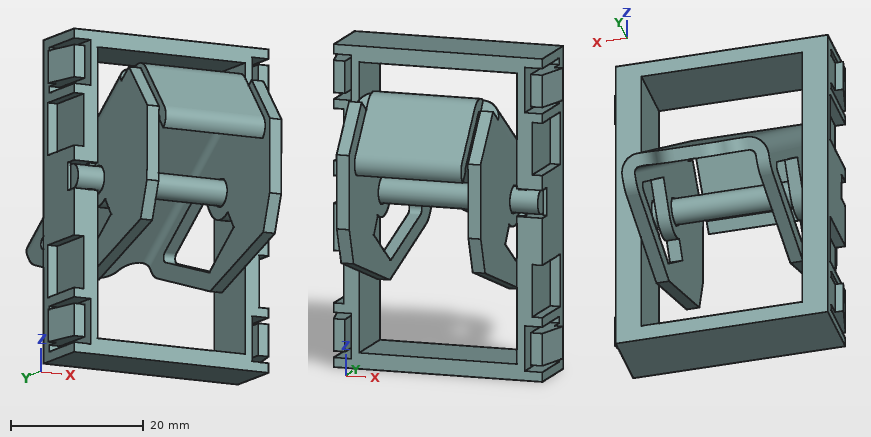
import cadquery as cq
import math


frame_width = 33.3
frame_depth = 10
frame_height = 50
side_wall = 4.05
end_wall = 2.5

clip_height = 5
clip_center_z = 20
clip_thickness = 1.8
clip_slot_width = 1
clip_slot_depth = 8
clip_barb_reach = 1.3
clip_barb_length = 5.9

pocket_height = 8.1
pocket_center_z = 11
pocket_depth = 1.6
pocket_length = 8.5

pin_diameter = 4
pin_length = 31.8
bore_diameter = 4.3
bore_radius = bore_diameter / 2
pin_y = 2.1
pin_z = 2.5
seat_end_wall = 0.5
bead_radius = 0.35
bead_length = 1.1
bead_y = 1.1

handle_tilt = 35
handle_width = 23
sheet = 2
bend_radius = 3
bend_inner_radius = bend_radius - sheet
plate_half_width = handle_width / 2 - bend_radius
plate_top_v = 10
bend_v = plate_top_v - bend_radius
plate_front_u = 14.2
plate_rear_u = -23

tongue_length = 4.05
tongue_tip_half_width = 2.15

flap_bend = 85
flap_length = 9.15
roll_radius = 2.35
roll_angle = 90

side_front_corner = (18.05, -2.15)
side_lower_front_corner = (11.35, -11.5)
side_lower_corner = (6.4, -15)
side_bottom_corner = (-11.15, -10.05)
side_rear_corner = (plate_rear_u, 5)
side_rear_radius = 4

window_top_v = 5.5
window_bottom_v = -7.45
window_rear_u = -20
window_bottom_u = -9.7
window_rear_radius = 0.9
pin_boss_radius = 4.15


def make_block(x_range, y_range, z_range):
    (x0, x1), (y0, y1), (z0, z1) = x_range, y_range, z_range
    return cq.Workplane("XY").box(x1 - x0, y1 - y0, z1 - z0, centered=False).translate((x0, y0, z0))


def make_x_cylinder(radius, x0, length, y, z):
    return cq.Workplane("YZ", origin=(x0, y, z)).circle(radius).extrude(length)


def make_clip_slot(center_z):
    """Slot on the +X side that frees a clip on three sides."""
    outer_x = frame_width / 2
    slot_x = outer_x - clip_thickness - clip_slot_width
    half_slot = clip_height / 2 + clip_slot_width
    half_clip = clip_height / 2
    slot = make_block(
        (slot_x, outer_x), (0, clip_slot_depth), (center_z - half_slot, center_z + half_slot)
    )
    clip = make_block(
        (outer_x - clip_thickness, outer_x),
        (0, clip_slot_depth),
        (center_z - half_clip, center_z + half_clip),
    )
    return slot.cut(clip)


def make_clip_barb(center_z):
    """Wedge on the outer face of a clip on the +X side."""
    outer_x = frame_width / 2
    return (
        cq.Workplane("XY", origin=(0, 0, center_z - clip_height / 2))
        .moveTo(outer_x, 0)
        .lineTo(outer_x + clip_barb_reach, clip_barb_length)
        .lineTo(outer_x, clip_barb_length)
        .close()
        .extrude(clip_height)
    )


def make_side_pocket(center_z):
    outer_x = frame_width / 2
    half_height = pocket_height / 2
    return make_block(
        (outer_x - pocket_depth, outer_x),
        (0, pocket_length),
        (center_z - half_height, center_z + half_height),
    )


def make_pin_seat():
    """Open-fronted seat in the +X side wall: a blind bore, its mouth and its two beads."""
    outer_x = frame_width / 2
    inner_x = outer_x - side_wall
    bore = make_x_cylinder(bore_radius, inner_x, side_wall - seat_end_wall, pin_y, pin_z)
    mouth = make_block((inner_x, outer_x), (0, pin_y), (pin_z - bore_radius, pin_z + bore_radius))
    seat = bore.union(mouth)
    for side in (-1, 1):
        bead = make_x_cylinder(bead_radius, inner_x, bead_length, bead_y, pin_z + side * bore_radius)
        seat = seat.cut(bead)
    return seat


def make_frame():
    frame = (
        cq.Workplane("XZ")
        .rect(frame_width, frame_height)
        .rect(frame_width - 2 * side_wall, frame_height - 2 * end_wall)
        .extrude(-frame_depth)
    )
    cutters = [make_pin_seat()]
    barbs = []
    for end in (-1, 1):
        cutters.append(make_clip_slot(end * clip_center_z))
        cutters.append(make_side_pocket(end * pocket_center_z))
        barbs.append(make_clip_barb(end * clip_center_z))
    for cutter in cutters:
        frame = frame.cut(cutter).cut(cutter.mirror("YZ"))
    for barb in barbs:
        frame = frame.union(barb).union(barb.mirror("YZ"))
    return frame


def make_pin():
    return make_x_cylinder(pin_diameter / 2, -pin_length / 2, pin_length, pin_y, pin_z)


def polar(center, radius, degrees):
    angle = math.radians(degrees)
    return (center[0] + radius * math.cos(angle), center[1] + radius * math.sin(angle))


flap_normal = 90 - flap_bend
roll_end_normal = flap_normal - roll_angle
flap_bend_center = (plate_front_u, bend_v)
flap_start = polar(flap_bend_center, bend_radius, flap_normal)
flap_end = polar(flap_start, flap_length, flap_normal - 90)
roll_center = polar(flap_end, -roll_radius, flap_normal)


def handle_plane(x=0):
    """Plane square to X at the given X, with u and v as its axes; it extrudes towards -X."""
    tilt = math.radians(handle_tilt)
    return cq.Workplane(
        cq.Plane(
            origin=(x, pin_y, pin_z),
            xDir=(0, -math.cos(tilt), math.sin(tilt)),
            normal=(-1, 0, 0),
        )
    )


def make_top_plate_and_flap():
    """Top plate, flap and rolled edge as one folded strip."""
    roll_inner_radius = roll_radius - sheet
    bend_middle = 90 - flap_bend / 2
    roll_middle = flap_normal - roll_angle / 2
    return (
        handle_plane()
        .moveTo(plate_rear_u, plate_top_v)
        .lineTo(plate_front_u, plate_top_v)
        .threePointArc(polar(flap_bend_center, bend_radius, bend_middle), flap_start)
        .lineTo(*flap_end)
        .threePointArc(
            polar(roll_center, roll_radius, roll_middle), polar(roll_center, roll_radius, roll_end_normal)
        )
        .lineTo(*polar(roll_center, roll_inner_radius, roll_end_normal))
        .threePointArc(
            polar(roll_center, roll_inner_radius, roll_middle),
            polar(roll_center, roll_inner_radius, flap_normal),
        )
        .lineTo(*polar(flap_bend_center, bend_inner_radius, flap_normal))
        .threePointArc(
            polar(flap_bend_center, bend_inner_radius, bend_middle), (plate_front_u, plate_top_v - sheet)
        )
        .lineTo(plate_rear_u, plate_top_v - sheet)
        .close()
        .extrude(plate_half_width, both=True)
    )


def make_tongue():
    """Rear tongue: on each side, two equal arcs that meet tangentially halfway."""
    run = plate_half_width - tongue_tip_half_width
    slope = math.degrees(2 * math.atan2(tongue_length, run))
    tongue_radius = (run ** 2 + tongue_length ** 2) / (4 * tongue_length)
    root_center = (plate_half_width, tongue_radius)
    tip_center = (tongue_tip_half_width, tongue_length - tongue_radius)
    root_middle = polar(root_center, tongue_radius, -90 - slope / 2)
    root_end = polar(root_center, tongue_radius, -90 - slope)
    tip_middle = polar(tip_center, tongue_radius, 90 - slope / 2)

    def mirrored(point):
        return (-point[0], point[1])

    tilt = math.radians(handle_tilt)
    rear_edge = handle_plane().plane.toWorldCoords((plate_rear_u, plate_top_v))
    plane = cq.Plane(
        origin=rear_edge, xDir=(1, 0, 0), normal=(0, math.sin(tilt), math.cos(tilt))
    )
    return (
        cq.Workplane(plane)
        .moveTo(plate_half_width, 0)
        .threePointArc(root_middle, root_end)
        .threePointArc(tip_middle, (tongue_tip_half_width, tongue_length))
        .lineTo(-tongue_tip_half_width, tongue_length)
        .threePointArc(mirrored(tip_middle), mirrored(root_end))
        .threePointArc(mirrored(root_middle), (-plate_half_width, 0))
        .close()
        .extrude(-sheet)
    )


def make_side_bend():
    """Quarter-round bend between the top plate and the +X side plate."""
    plate_length = plate_front_u - plate_rear_u
    tilt = math.radians(handle_tilt)
    center = handle_plane(plate_half_width).plane.toWorldCoords((plate_rear_u, bend_v))
    plane = cq.Plane(
        origin=center, xDir=(1, 0, 0), normal=(0, -math.cos(tilt), math.sin(tilt))
    )
    return (
        cq.Workplane(plane)
        .moveTo(bend_inner_radius, 0)
        .lineTo(bend_radius, 0)
        .threePointArc(polar((0, 0), bend_radius, 45), (0, bend_radius))
        .lineTo(0, bend_inner_radius)
        .threePointArc(polar((0, 0), bend_inner_radius, 45), (bend_inner_radius, 0))
        .close()
        .extrude(plate_length)
    )


def nearest_edge(plane, corner):
    """Selector for the edge that crosses a side plate at the given (u, v) corner."""
    middle = plane.plane.toWorldCoords((*corner, sheet / 2))
    return cq.NearestToPointSelector(middle.toTuple())


def make_window(plane):
    rear_corner = (window_rear_u, window_top_v)
    return (
        plane.moveTo(*rear_corner)
        .lineTo(-pin_boss_radius, window_top_v)
        .lineTo(-pin_boss_radius, 0)
        .threePointArc(polar((0, 0), pin_boss_radius, 225), (0, -pin_boss_radius))
        .lineTo(0, window_bottom_v)
        .lineTo(window_bottom_u, window_bottom_v)
        .close()
        .extrude(sheet)
        .edges(nearest_edge(plane, rear_corner))
        .fillet(window_rear_radius)
    )


def make_side_plate():
    """The +X side plate with its window and pin hole."""
    plane = handle_plane(handle_width / 2)
    front_edge_u = flap_start[0] + (flap_start[1] - bend_v) * math.tan(math.radians(flap_normal))
    plate = (
        plane.moveTo(plate_rear_u, bend_v)
        .lineTo(front_edge_u, bend_v)
        .lineTo(*side_front_corner)
        .lineTo(*side_lower_front_corner)
        .lineTo(*side_lower_corner)
        .lineTo(*side_bottom_corner)
        .lineTo(*side_rear_corner)
        .close()
        .extrude(sheet)
        .edges(nearest_edge(plane, side_rear_corner))
        .fillet(side_rear_radius)
    )
    pin_hole = plane.circle(bore_radius).extrude(sheet)
    return plate.cut(make_window(plane)).cut(pin_hole)


def make_handle():
    handle = make_top_plate_and_flap().union(make_tongue())
    side = make_side_bend().union(make_side_plate())
    return handle.union(side).union(side.mirror("YZ"))


frame = make_frame()
handle = make_handle()
pin = make_pin()

result = cq.Compound.makeCompound([frame.solids().val(), handle.solids().val(), pin.val()])